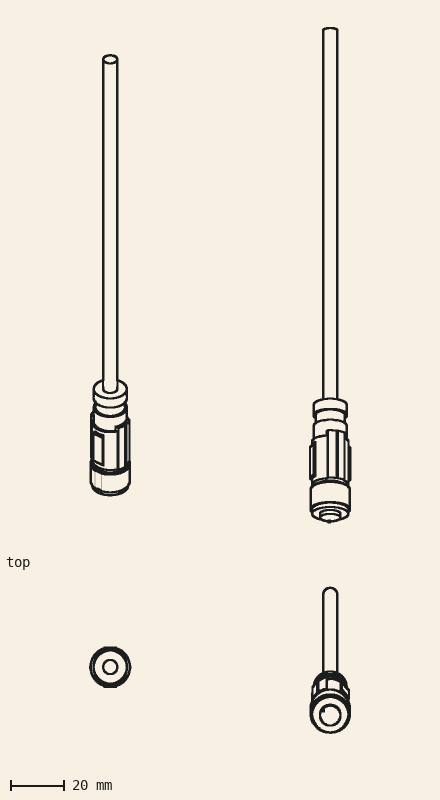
import cadquery as cq
import math

total_length = 195.6

plug_face = 0.5
nut_bottom = 2.2
nut_shoulder = 4.0
nut_top = 12.5
nut_chamfer = 0.5
grip_bottom = 13.7
grip_top = 31.0
sleeve_top = 37.4
collar_bottom = 41.7
collar_top = 45.8

plug_diameter = 7.6
nut_rim_diameter = 13.5
nut_diameter = 14.7
neck_diameter = 9.0
grip_diameter = 13.7
sleeve_diameter = 12.3
waist_diameter = 11.0
collar_lip_diameter = 12.5
cable_diameter = 5.3

pin_diameter = 0.5
pin_x = 3.1
pin_y = -0.8

nut_flat_width = 3.0

rail_span = nut_diameter
rail_width = 6.7
rail_top = 32.7
ridge_span = 15.0
ridge_width = 0.5

pad_span = nut_diameter
pad_width = 4.1
pad_bottom = 15.6
pad_top = 29.1
pad_slope = 0.5


def cylinder(diameter, bottom, top):
    """Round section on the Z axis between two levels."""
    return cq.Workplane("XY").workplane(offset=bottom).circle(diameter / 2).extrude(top - bottom)


def bar(size_x, size_y, bottom, top):
    """Rectangular bar centred on the Z axis between two levels."""
    return cq.Workplane("XY").workplane(offset=bottom).rect(size_x, size_y).extrude(top - bottom)


def coupling_nut():
    """Round nut with a chamfered top edge and one marking flat on its -Y side."""
    nut = cylinder(nut_diameter, nut_shoulder, nut_top).faces(">Z").chamfer(nut_chamfer)
    flat_distance = math.sqrt((nut_diameter / 2) ** 2 - (nut_flat_width / 2) ** 2)
    flat_cut = bar(nut_diameter, nut_diameter, nut_shoulder, nut_top)
    return nut.cut(flat_cut.translate((0, -flat_distance - nut_diameter / 2, 0)))


def tapered_collar():
    """End collar that widens slightly towards its lower edge."""
    return (
        cq.Workplane("XY")
        .workplane(offset=collar_bottom)
        .circle(collar_lip_diameter / 2)
        .workplane(offset=collar_top - collar_bottom)
        .circle(sleeve_diameter / 2)
        .loft()
    )


plug = cylinder(plug_diameter, plug_face, nut_bottom)
pin = cylinder(pin_diameter, 0, nut_bottom).translate((pin_x, pin_y, 0))
nut_rim = cylinder(nut_rim_diameter, nut_bottom, nut_shoulder)
nut = coupling_nut()
neck = cylinder(neck_diameter, nut_top, grip_bottom)

grip = cylinder(grip_diameter, grip_bottom, grip_top)
rails = cylinder(rail_span, grip_bottom, rail_top)
rails = rails.intersect(bar(rail_span, rail_width, grip_bottom, rail_top))
ridges = bar(ridge_span, ridge_width, grip_bottom, rail_top)
pads = bar(pad_width, pad_span, pad_bottom, pad_top)
pads = pads.edges("|X").chamfer(pad_slope)

sleeve = cylinder(sleeve_diameter, grip_top, sleeve_top)
waist = cylinder(waist_diameter, sleeve_top, collar_bottom)
collar = tapered_collar()
cable = cylinder(cable_diameter, collar_top, total_length)

result = plug
for section in (pin, nut_rim, nut, neck, grip, rails, ridges, pads, sleeve, waist, collar, cable):
    result = result.union(section)